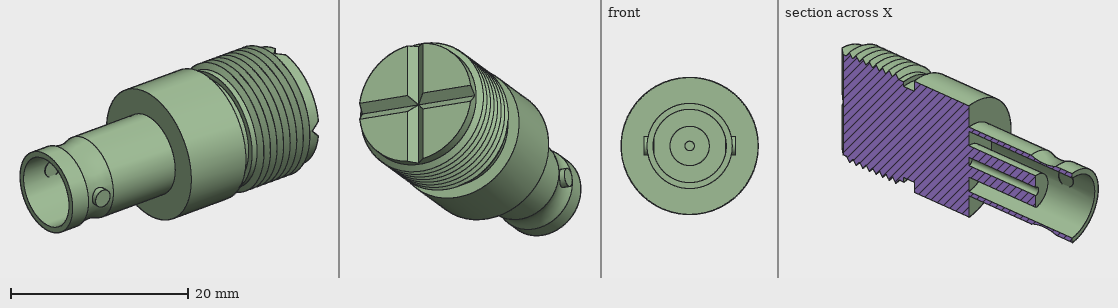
import cadquery as cq

total_length = 33.6

barrel_radius = 4.8
barrel_length = 14.7
bore_radius = 4.13
bore_depth = barrel_length
waist_radius = 4.45
waist_center = 4.05
waist_length = 3.55

stud_radius = 1.05
stud_inner_reach = 4.03
stud_outer_reach = 5.15

insulator_radius = 2.22
insulator_recess = 5.2
contact_radius = 0.55

body_diameter = 15.5
body_length = 7.83
neck_radius = 6.35
neck_length = 1.48

thread_root_radius = 7.0
thread_crest_radius = 7.65
thread_pitch = 0.95
thread_count = 8
thread_end_margin = 1.35

notch_width = 1.9
notch_depth = 0.95

body_radius = body_diameter / 2
body_end = barrel_length + body_length
neck_end = body_end + neck_length
thread_end = total_length - thread_end_margin
thread_start = thread_end - thread_count * thread_pitch


def outer_form():
    """Revolve the stepped outside outline, including the waist and thread rings."""
    waist_start = waist_center - waist_length / 2
    waist_end = waist_center + waist_length / 2
    outline = (
        cq.Workplane("XY")
        .lineTo(barrel_radius, 0)
        .lineTo(barrel_radius, waist_start)
        .threePointArc((waist_radius, waist_center), (barrel_radius, waist_end))
        .lineTo(barrel_radius, barrel_length)
        .lineTo(body_radius, barrel_length)
        .lineTo(body_radius, body_end)
        .lineTo(neck_radius, body_end)
        .lineTo(neck_radius, neck_end)
        .lineTo(thread_root_radius, neck_end)
        .lineTo(thread_root_radius, thread_start)
    )
    for ring in range(thread_count):
        ring_start = thread_start + ring * thread_pitch
        outline = outline.lineTo(thread_crest_radius, ring_start + thread_pitch / 2)
        outline = outline.lineTo(thread_root_radius, ring_start + thread_pitch)
    outline = outline.lineTo(thread_root_radius, total_length).lineTo(0, total_length).close()
    return outline.revolve(360, (0, 0, 0), (0, 1, 0))


def cylinder_along_y(radius, start, end):
    """Solid cylinder on the part axis between two Y positions."""
    return cq.Workplane("XZ", origin=(0, start, 0)).circle(radius).extrude(start - end)


def socket_cavity():
    """Barrel bore around the recessed insulator, plus the contact hole in the insulator."""
    bore = cylinder_along_y(bore_radius, 0, bore_depth)
    insulator = cylinder_along_y(insulator_radius, insulator_recess, bore_depth)
    contact_hole = cylinder_along_y(contact_radius, insulator_recess, bore_depth)
    return bore.cut(insulator).union(contact_hole)


def bayonet_stud(side):
    """Radial stud in the waist; side is +1 or -1 along X."""
    return (
        cq.Workplane("YZ", origin=(side * stud_inner_reach, waist_center, 0))
        .circle(stud_radius)
        .extrude(side * (stud_outer_reach - stud_inner_reach))
    )


def end_notch(plane):
    """V groove across the end face; the plane holds the V and the groove runs along its normal."""
    mouth_left = (-notch_width / 2, total_length)
    mouth_right = (notch_width / 2, total_length)
    root = (0, total_length - notch_depth)
    triangle = cq.Workplane(plane).polyline([mouth_left, mouth_right, root]).close()
    return triangle.extrude(body_radius, both=True)


crosswise_plane = cq.Plane(origin=(0, 0, 0), xDir=(0, 0, 1), normal=(-1, 0, 0))

result = outer_form().cut(socket_cavity())
for stud_side in (1, -1):
    result = result.union(bayonet_stud(stud_side))
for notch_plane in (cq.Plane.XY(), crosswise_plane):
    result = result.cut(end_notch(notch_plane))